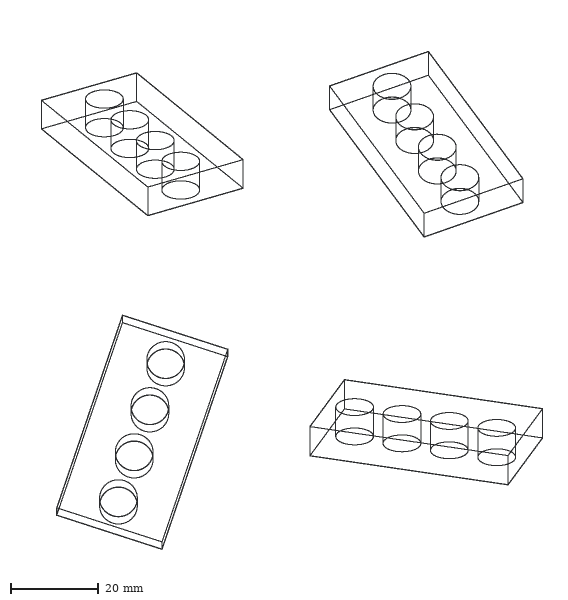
import cadquery as cq

length = 47.75
width = 25.4
thickness = 7.5

hole_count = 4
hole_diameter = 8.65
hole_pitch = 11.4
row_offset = 0.15

plate = cq.Workplane("XY").box(length, width, thickness)

result = (
    plate.faces(">Z")
    .workplane()
    .center(row_offset, 0)
    .rarray(hole_pitch, 0.5, hole_count, 1)
    .hole(hole_diameter)
)